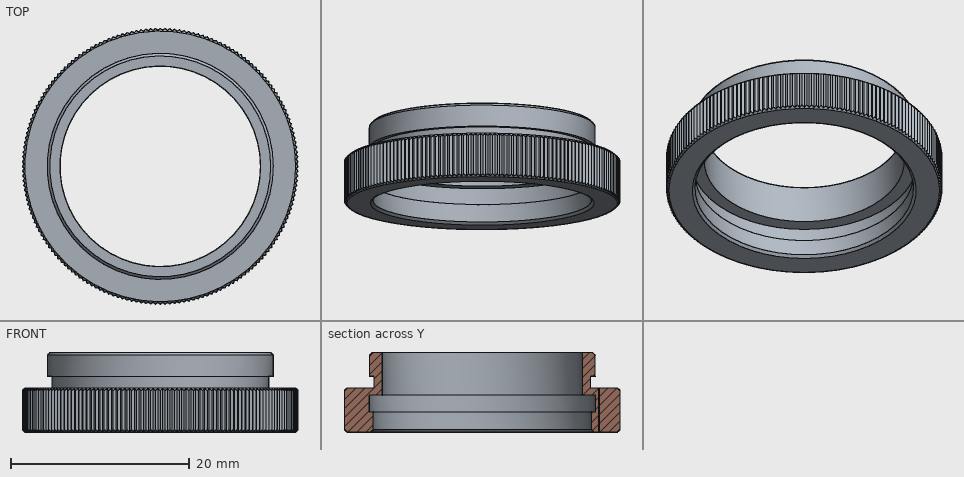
import cadquery as cq
import math

total_height = 9.0
grip_height = 5.0
boss_height = 2.7

grip_diameter = 31.0
neck_diameter = 24.4
boss_diameter = 25.4

bevel = 0.3
bevel_angle = 45

bore_diameter = 22.5
socket_diameter = 24.54
relief_diameter = 25.4
relief_bottom = 2.3
relief_top = 4.2

ridge_count = 180
ridge_height = 0.2


def grip():
    """Knurled disc with both rims bevelled."""
    tip_radius = grip_diameter / 2
    root_radius = tip_radius - ridge_height
    half_pitch = math.pi / ridge_count
    outline = []
    for step in range(2 * ridge_count):
        radius = tip_radius if step % 2 == 0 else root_radius
        angle = step * half_pitch
        outline.append((radius * math.cos(angle), radius * math.sin(angle)))
    knurled_disc = cq.Workplane("XY").polyline(outline).close().extrude(grip_height)
    bevelled_disc = (
        cq.Workplane("XY")
        .circle(tip_radius)
        .extrude(grip_height)
        .edges()
        .chamfer(bevel)
    )
    return knurled_disc.intersect(bevelled_disc)


def cylinder(diameter, bottom, top):
    """Solid cylinder on the Z axis between two levels."""
    return cq.Workplane("XY").workplane(offset=bottom).circle(diameter / 2).extrude(top - bottom)


def boss_and_neck():
    """Raised ring with a bevelled top, carried on a narrower neck."""
    boss_bottom = total_height - boss_height
    boss = cylinder(boss_diameter, boss_bottom, total_height).faces(">Z").chamfer(bevel)
    return cylinder(neck_diameter, grip_height, boss_bottom).union(boss)


def inner_cavity():
    """Through bore, wider bevelled socket from below and a relief groove above the socket."""
    bore = cylinder(bore_diameter, 0, total_height)
    socket = cylinder(socket_diameter, 0, relief_bottom)
    relief = cylinder(relief_diameter, relief_bottom, relief_top)
    lead_in = (
        cq.Workplane("XY")
        .circle(socket_diameter / 2 + bevel)
        .extrude(bevel, taper=bevel_angle)
    )
    return bore.union(socket).union(lead_in).union(relief)


result = grip().union(boss_and_neck()).cut(inner_cavity())